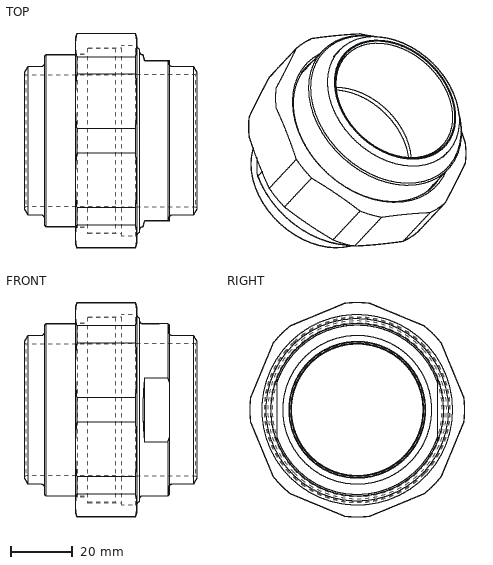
import cadquery as cq
import math


total_length = 56.0
pipe_r = 48.3 / 2
shoulder_r = 56.0 / 2
shoulder_chamfer = 0.5
weld_bevel_angle = math.radians(30)
bore_chamfer = 0.5
bevel_root_r = 22.2
bevel_length = (pipe_r - bevel_root_r) * math.tan(weld_bevel_angle)

nut_start = 16.5
nut_width = 20.0
nut_end = nut_start + nut_width
nut_corner_r = 69.7 / 2
nut_across_flats = 67.0
nut_sides = 8
nut_face_r = 66.6 / 2
nut_chamfer_length = 0.5
nut_flange_length = 4.0
nut_hole_r = 56.5 / 2
nut_hole_chamfer = 0.7
nut_bore_r = 60.38 / 2
thread_r = 61.85 / 2

spigot_shoulder_x = 6.5
spigot_fillet = 1.1
spigot_bore_r = 42.7 / 2
spigot_end = 29.5
collar_start = nut_start + nut_flange_length
collar_r = 60.0 / 2

tail_bore_r = 43.1 / 2
gasket_gap = 2.0
tail_start = spigot_end + gasket_gap
tail_thread_end = 37.4
tail_thread_tip_r = 29.6
tail_shoulder_fillet = 0.85
tail_shoulder_end = 47.0
tail_pipe_fillet = 0.85
wrench_across_flats = 52.0
wrench_flat_start = 39.0
wrench_run_out_angle = math.radians(15)


def revolve_profile(profile):
    return profile.close().revolve(360, (0, 0, 0), (1, 0, 0))


def concave_fillet(profile, corner_x, corner_r, radius, rising):
    """Round the foot of a shoulder; `rising` means the radius grows along +X."""
    leg = radius * (1 - math.cos(math.pi / 4))
    side = -1 if rising else 1
    on_cylinder = (corner_x + side * radius, corner_r)
    middle = (corner_x + side * leg, corner_r + leg)
    on_face = (corner_x, corner_r + radius)
    start, end = (on_cylinder, on_face) if rising else (on_face, on_cylinder)
    return profile.lineTo(*start).threePointArc(middle, end)


def make_nut():
    across_corners = nut_across_flats / math.cos(math.pi / nut_sides)
    prism = (
        cq.Workplane("YZ", origin=(nut_start, 0, 0))
        .polygon(nut_sides, across_corners)
        .extrude(nut_width)
    )
    envelope = revolve_profile(
        cq.Workplane("XY")
        .moveTo(nut_start, nut_hole_r + nut_hole_chamfer)
        .lineTo(nut_start, nut_face_r)
        .lineTo(nut_start + nut_chamfer_length, nut_corner_r)
        .lineTo(nut_end - nut_chamfer_length, nut_corner_r)
        .lineTo(nut_end, nut_face_r)
        .lineTo(nut_end, thread_r)
        .lineTo(tail_start, thread_r)
        .lineTo(tail_start, nut_bore_r)
        .lineTo(collar_start, nut_bore_r)
        .lineTo(collar_start, nut_hole_r)
        .lineTo(nut_start + nut_hole_chamfer, nut_hole_r)
    )
    return envelope.intersect(prism)


def make_spigot():
    profile = (
        cq.Workplane("XY")
        .moveTo(bore_chamfer, spigot_bore_r)
        .lineTo(0, spigot_bore_r + bore_chamfer)
        .lineTo(0, bevel_root_r)
        .lineTo(bevel_length, pipe_r)
    )
    profile = (
        concave_fillet(profile, spigot_shoulder_x, pipe_r, spigot_fillet, True)
        .lineTo(spigot_shoulder_x, shoulder_r - shoulder_chamfer)
        .lineTo(spigot_shoulder_x + shoulder_chamfer, shoulder_r)
        .lineTo(collar_start, shoulder_r)
        .lineTo(collar_start, collar_r)
        .lineTo(spigot_end, collar_r)
        .lineTo(spigot_end, spigot_bore_r)
    )
    return revolve_profile(profile)


def wrench_flat_cutter():
    """Prism above the +Y wrench flat, with a sloped run-out wall at its -X end."""
    flat_y = wrench_across_flats / 2
    height = shoulder_r
    slope_run = height * math.tan(wrench_run_out_angle)
    return (
        cq.Workplane("XY", origin=(0, 0, -shoulder_r))
        .moveTo(wrench_flat_start, flat_y)
        .lineTo(total_length, flat_y)
        .lineTo(total_length, flat_y + height)
        .lineTo(wrench_flat_start - slope_run, flat_y + height)
        .close()
        .extrude(2 * shoulder_r)
    )


def make_tailpiece():
    thread_chamfer = thread_r - tail_thread_tip_r
    profile = (
        cq.Workplane("XY")
        .moveTo(tail_start, tail_bore_r)
        .lineTo(tail_start, thread_r)
        .lineTo(tail_thread_end - thread_chamfer, thread_r)
        .lineTo(tail_thread_end, tail_thread_tip_r)
    )
    profile = (
        concave_fillet(profile, tail_thread_end, shoulder_r, tail_shoulder_fillet, False)
        .lineTo(tail_shoulder_end - shoulder_chamfer, shoulder_r)
        .lineTo(tail_shoulder_end, shoulder_r - shoulder_chamfer)
    )
    profile = (
        concave_fillet(profile, tail_shoulder_end, pipe_r, tail_pipe_fillet, False)
        .lineTo(total_length - bevel_length, pipe_r)
        .lineTo(total_length, bevel_root_r)
        .lineTo(total_length, tail_bore_r + bore_chamfer)
        .lineTo(total_length - bore_chamfer, tail_bore_r)
    )
    cutter = wrench_flat_cutter()
    return revolve_profile(profile).cut(cutter).cut(cutter.mirror("XZ"))


nut = make_nut()
spigot = make_spigot()
tailpiece = make_tailpiece()

result = cq.Compound.makeCompound([nut.val(), spigot.val(), tailpiece.val()])